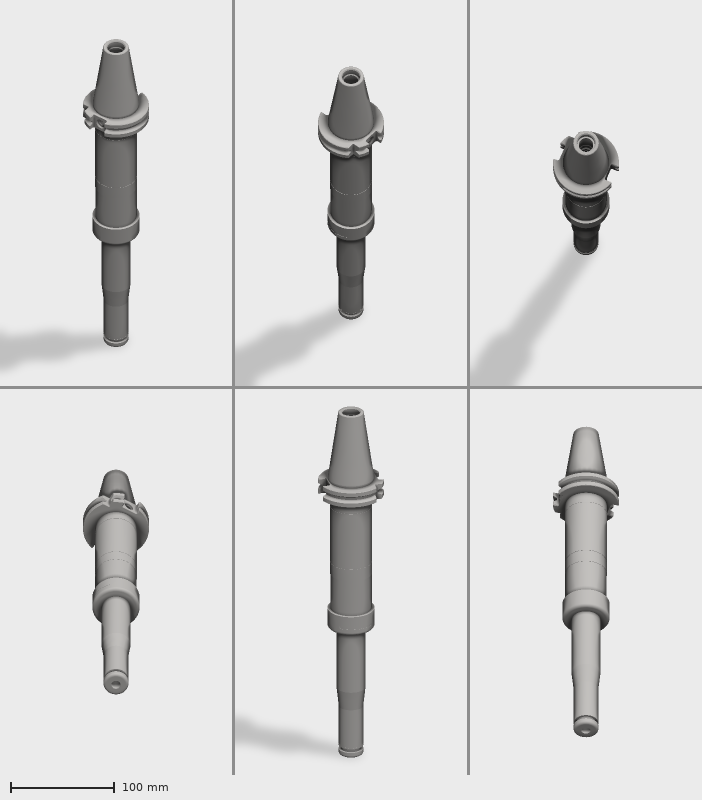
import cadquery as cq
import math

gauge_diameter = 44.45
taper_length = 68.4
taper_ratio = 7 / 24
small_end_diameter = gauge_diameter - taper_ratio * taper_length
small_end_chamfer = 0.5
taper_overrun = 0.8
neck_diameter = gauge_diameter + taper_ratio * taper_overrun

flange_diameter = 63.55
flange_top = -3.2
flange_bottom = -19.1
flange_chamfer = 0.5
undercut_depth = 0.25
undercut_width = 1.0
groove_root_diameter = 56.25
groove_center = -11.1
groove_opening = 7.0
groove_flank_angle = 30.0

total_length = 363.75
bottom = taper_length - total_length
body_diameter = 40.5
lower_body_diameter = 40.0
lower_body_top = -103.0
ring_groove_width = 1.0
ring_groove_centers = (-30.9, -90.0)
nut_diameter = 45.5
nut_top = -140.0
nut_bottom = -160.0
nut_fillet = 3.0
stem_diameter = 28.0
cone_top = -224.5
cone_bottom = -244.2
nose_diameter = 23.8

collar_diameter = 24.0
collar_height = 10.7
tip_groove_diameter = 19.5
tip_groove_height = 3.8
tip_groove_bottom = bottom + 5.7
tip_fillet = 2.5

through_diameter = 9.0
mouth_diameter = 17.0
mouth_depth = 7.0
mouth_chamfer = 1.0
bore_steps = (
    (mouth_diameter, mouth_depth),
    (13.84, 32.0),
    (13.0, 40.0),
    (10.0, 45.0),
)

slot_width = 16.1
slot_floor_front = 25.0
slot_floor_back = 22.8
slot_corner_radius = 1.0
slot_edge_chamfer = 0.85
notch_offset = 18.5
notch_corner_radius = 0.8

pocket_diameter = 9.0
pocket_chamfer = 0.5
pocket_depth = 2.0
drill_diameter = 6.0
drill_depth = 6.0
drill_tip_angle = 118.0

band_center = -152.3
band_height = 2.2
band_depth = 0.2
band_angle = 90.0

clearance = 1.0


def cylinder(diameter, z_low, z_high):
    return cq.Workplane("XY").workplane(offset=z_low).circle(diameter / 2).extrude(z_high - z_low)


def ring(inner_diameter, outer_diameter, z_low, z_high):
    return cylinder(outer_diameter, z_low, z_high).cut(cylinder(inner_diameter, z_low, z_high))


def cone(top_diameter, bottom_diameter, z_low, z_high):
    profile = [
        (0, z_low),
        (bottom_diameter / 2, z_low),
        (top_diameter / 2, z_high),
        (0, z_high),
    ]
    return cq.Workplane("XZ").polyline(profile).close().revolve(360, (0, 0, 0), (0, 1, 0))


def make_flange():
    flange = cylinder(flange_diameter, flange_bottom, flange_top).edges().chamfer(flange_chamfer)
    outer = flange_diameter / 2
    root = groove_root_diameter / 2
    half_opening = groove_opening / 2
    half_root = half_opening - (outer - root) * math.tan(math.radians(groove_flank_angle))
    v_groove = (
        cq.Workplane("XZ")
        .moveTo(root, groove_center - half_root)
        .lineTo(outer, groove_center - half_opening)
        .lineTo(outer + clearance, groove_center - half_opening)
        .lineTo(outer + clearance, groove_center + half_opening)
        .lineTo(outer, groove_center + half_opening)
        .lineTo(root, groove_center + half_root)
        .close()
        .revolve(360, (0, 0, 0), (0, 1, 0))
    )
    flange = flange.cut(v_groove)
    flange = flange.cut(drive_slot(slot_floor_front, -1)).cut(drive_slot(slot_floor_back, 1))
    return flange.cut(orientation_notch())


def drive_slot(floor_distance, side):
    """Slot across the flange height, open toward +Y (side = 1) or -Y (side = -1)."""
    half = slot_width / 2
    outer = flange_diameter / 2 + clearance
    mouth_y = math.sqrt((flange_diameter / 2) ** 2 - (half + slot_edge_chamfer) ** 2)
    height = flange_top - flange_bottom
    slot = (
        cq.Workplane("XY")
        .workplane(offset=flange_bottom)
        .center(0, side * (floor_distance + outer) / 2)
        .rect(slot_width, outer - floor_distance)
        .extrude(height)
        .edges("|Z")
        .edges("<Y" if side > 0 else ">Y")
        .fillet(slot_corner_radius)
    )
    flare = (
        cq.Workplane("XY")
        .workplane(offset=flange_bottom)
        .moveTo(-half, side * (mouth_y - slot_edge_chamfer))
        .lineTo(-half - slot_edge_chamfer, side * mouth_y)
        .lineTo(-half - slot_edge_chamfer, side * outer)
        .lineTo(half + slot_edge_chamfer, side * outer)
        .lineTo(half + slot_edge_chamfer, side * mouth_y)
        .lineTo(half, side * (mouth_y - slot_edge_chamfer))
        .close()
        .extrude(height)
    )
    slot = slot.union(flare)
    inner = floor_distance + slot_corner_radius
    for face_z, inward in ((flange_top, -1), (flange_bottom, 1)):
        bevel = (
            cq.Workplane("XZ")
            .moveTo(-half - slot_edge_chamfer, face_z)
            .lineTo(half + slot_edge_chamfer, face_z)
            .lineTo(half, face_z + inward * slot_edge_chamfer)
            .lineTo(-half, face_z + inward * slot_edge_chamfer)
            .close()
            .extrude(-side * (outer - inner))
            .translate((0, side * inner, 0))
        )
        slot = slot.union(bevel)
    return slot


def orientation_notch():
    size = flange_diameter / 2
    return (
        cq.Workplane("XY")
        .workplane(offset=flange_bottom)
        .center(-notch_offset - size / 2, -notch_offset - size / 2)
        .rect(size, size)
        .extrude(flange_top - flange_bottom)
        .edges("|Z and >X and >Y")
        .fillet(notch_corner_radius)
    )


def make_shank():
    taper = cone(small_end_diameter, neck_diameter, -taper_overrun, taper_length)
    taper = taper.faces(">Z").chamfer(small_end_chamfer)
    neck = cylinder(neck_diameter, flange_bottom, -taper_overrun)
    undercut_diameter = neck_diameter - 2 * undercut_depth
    undercut = ring(undercut_diameter, flange_diameter, flange_top, flange_top + undercut_width)
    return taper.union(neck.cut(undercut))


def make_body():
    body = cylinder(body_diameter, lower_body_top, flange_bottom)
    for center in ring_groove_centers:
        half = ring_groove_width / 2
        body = body.cut(ring(lower_body_diameter, nut_diameter, center - half, center + half))
    undercut_diameter = body_diameter - 2 * undercut_depth
    undercut = ring(undercut_diameter, flange_diameter, flange_bottom - undercut_width, flange_bottom)
    return body.cut(undercut).union(cylinder(lower_body_diameter, nut_top, lower_body_top))


def make_nut():
    nut = cylinder(nut_diameter, nut_bottom, nut_top).faces("<Z").edges().fillet(nut_fillet)
    floor_radius = nut_diameter / 2 - band_depth
    band = (
        cq.Workplane("XZ")
        .moveTo(-floor_radius, band_center - band_height / 2)
        .lineTo(-floor_radius, band_center + band_height / 2)
        .lineTo(-floor_radius - band_depth - clearance, band_center + band_height / 2)
        .lineTo(-floor_radius - band_depth - clearance, band_center - band_height / 2)
        .close()
        .revolve(band_angle, (0, 0, 0), (0, 1, 0))
        .rotate((0, 0, 0), (0, 0, 1), -band_angle / 2)
    )
    return nut.cut(band)


def make_stem():
    stem = cylinder(stem_diameter, cone_top, nut_bottom)
    stem = stem.union(cone(stem_diameter, nose_diameter, cone_bottom, cone_top))
    collar_top = bottom + collar_height
    stem = stem.union(cylinder(nose_diameter, collar_top, cone_bottom))
    collar = cylinder(collar_diameter, bottom, collar_top).faces("<Z").edges().fillet(tip_fillet)
    tip_groove_top = tip_groove_bottom + tip_groove_height
    tip_groove = ring(tip_groove_diameter, stem_diameter, tip_groove_bottom, tip_groove_top)
    return stem.union(collar.cut(tip_groove))


def make_bore():
    bore = cylinder(through_diameter, bottom, taper_length)
    for diameter, depth in bore_steps:
        bore = bore.union(cylinder(diameter, taper_length - depth, taper_length))
    countersink_diameter = mouth_diameter + 2 * mouth_chamfer
    countersink_bottom = taper_length - mouth_chamfer
    return bore.union(cone(countersink_diameter, mouth_diameter, countersink_bottom, taper_length))


def make_slot_hole():
    """Counterbored blind hole with a drill-point end, running inward from the front slot floor."""
    radius = drill_diameter / 2
    tip_length = radius / math.tan(math.radians(drill_tip_angle / 2))
    return (
        cq.Workplane("XY")
        .moveTo(0, -slot_floor_front)
        .lineTo(pocket_diameter / 2 + pocket_chamfer, -slot_floor_front)
        .lineTo(pocket_diameter / 2, -slot_floor_front + pocket_chamfer)
        .lineTo(pocket_diameter / 2, -slot_floor_front + pocket_depth)
        .lineTo(radius, -slot_floor_front + pocket_depth)
        .lineTo(radius, -slot_floor_front + drill_depth)
        .lineTo(0, -slot_floor_front + drill_depth + tip_length)
        .close()
        .revolve(360, (0, 0, 0), (0, 1, 0))
        .translate((0, 0, (flange_top + flange_bottom) / 2))
    )


result = make_shank().union(make_flange()).union(make_body()).union(make_nut()).union(make_stem())
result = result.cut(make_bore()).cut(make_slot_hole())